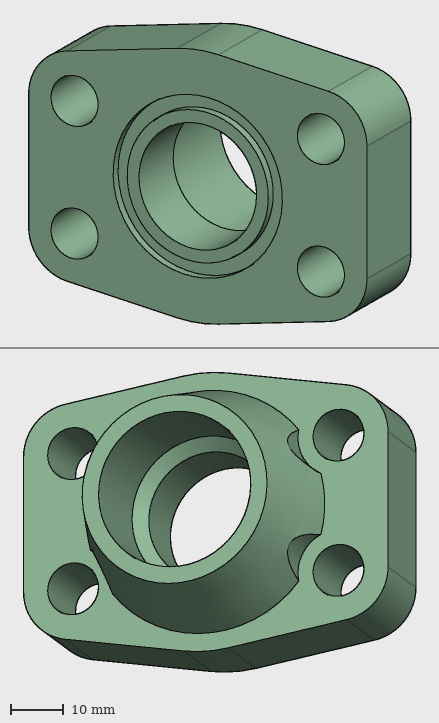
import cadquery as cq
import math

plate_width = 72.0
plate_height = 54.0
plate_thickness = 18.0
corner_radius = 9.8
crown_radius = plate_height / 2

bolt_spacing_x = 52.4
bolt_spacing_z = 26.2
bolt_diameter = 10.0
bolt_clearance_radius = 8.0

total_depth = 38.0
neck_base_diameter = 47.0
neck_end_diameter = 36.5

bore_diameter = 25.0
bore_depth = 14.0
outlet_diameter = 30.0
taper_length = 2.5
groove_outer_diameter = 36.0
groove_inner_diameter = 30.0
groove_depth = 2.0

neck_length = total_depth - plate_thickness


def cylinder(diameter, start, length, x=0.0, z=0.0):
    """Cylinder along +Y that begins at Y = start."""
    return cq.Workplane(cq.Solid.makeCylinder(
        diameter / 2, length, cq.Vector(x, start, z), cq.Vector(0, 1, 0)))


def cone(start_diameter, end_diameter, start, length):
    """Cone frustum along the Y axis that begins at Y = start."""
    return cq.Workplane(cq.Solid.makeCone(
        start_diameter / 2, end_diameter / 2, length, cq.Vector(0, start, 0), cq.Vector(0, 1, 0)))


def make_plate():
    """Plate with a rounded crown, sloping shoulders and rounded corners."""
    corner_x = plate_width / 2 - corner_radius
    corner_z = bolt_spacing_z / 2
    centre_distance = math.hypot(corner_x, corner_z)
    slope = math.atan2(corner_x, corner_z) - math.acos((crown_radius - corner_radius) / centre_distance)

    def corner_point(angle):
        return (corner_x + corner_radius * math.sin(angle), corner_z + corner_radius * math.cos(angle))

    crown_end = (crown_radius * math.sin(slope), crown_radius * math.cos(slope))
    corner_start = corner_point(slope)
    corner_middle = corner_point((slope + math.pi / 2) / 2)
    half_width = plate_width / 2

    quarter = (
        cq.Workplane("XZ")
        .moveTo(0, 0)
        .lineTo(0, crown_radius)
        .threePointArc((crown_radius * math.sin(slope / 2), crown_radius * math.cos(slope / 2)), crown_end)
        .lineTo(*corner_start)
        .threePointArc(corner_middle, (half_width, corner_z))
        .lineTo(half_width, 0)
        .close()
        .extrude(-plate_thickness)
    )
    half = quarter.union(quarter.mirror("YZ"))
    return half.union(half.mirror("XY")).clean()


plate = make_plate()
neck = cone(neck_base_diameter, neck_end_diameter, plate_thickness, neck_length)

for x in (-bolt_spacing_x / 2, bolt_spacing_x / 2):
    for z in (-bolt_spacing_z / 2, bolt_spacing_z / 2):
        plate = plate.cut(cylinder(bolt_diameter, 0, plate_thickness, x, z))
        neck = neck.cut(cylinder(2 * bolt_clearance_radius, plate_thickness, neck_length, x, z))

bore = cylinder(bore_diameter, 0, total_depth)
taper = cone(bore_diameter, outlet_diameter, bore_depth, taper_length)
outlet = cylinder(outlet_diameter, bore_depth + taper_length, total_depth - bore_depth - taper_length)
groove = cylinder(groove_outer_diameter, 0, groove_depth).cut(
    cylinder(groove_inner_diameter, 0, groove_depth))

result = plate.union(neck).cut(bore).cut(taper).cut(outlet).cut(groove)